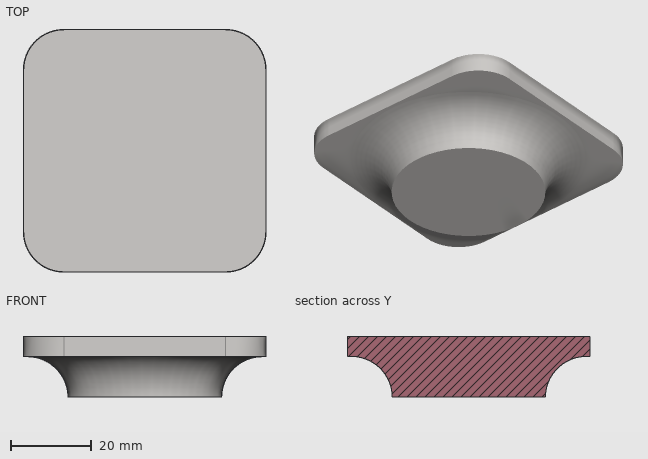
import cadquery as cq
import math

plate_side = 60.0
total_height = 15.0
plate_thickness = total_height / 3
corner_radius = plate_side / 6

foot_height = total_height - plate_thickness
foot_radius = 19.0
flare_radius = foot_height


def make_plate():
    return (
        cq.Workplane("XY")
        .workplane(offset=foot_height)
        .rect(plate_side, plate_side)
        .extrude(plate_thickness)
        .edges("|Z")
        .fillet(corner_radius)
    )


def make_foot():
    """Revolve a concave quarter arc, upright at the base and flat at the plate."""
    rim_radius = foot_radius + flare_radius
    arc_offset = flare_radius * math.sqrt(0.5)
    return (
        cq.Workplane("XZ")
        .lineTo(foot_radius, 0)
        .threePointArc((rim_radius - arc_offset, arc_offset), (rim_radius, foot_height))
        .lineTo(0, foot_height)
        .close()
        .revolve(360, (0, 0, 0), (0, 1, 0))
    )


result = make_plate().union(make_foot())